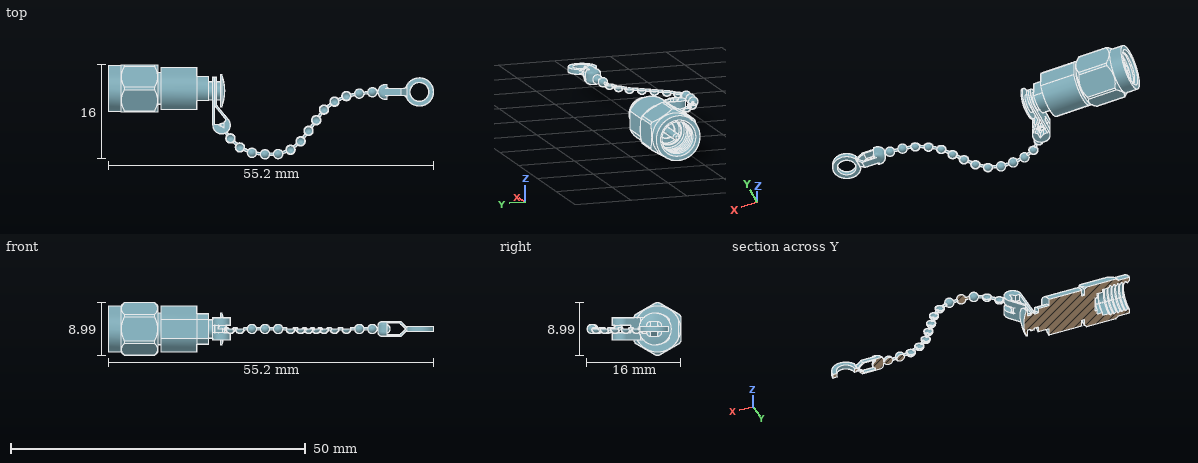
import cadquery as cq
import math


OVERALL_LENGTH = 55.17

COLLAR_RADIUS = 3.92
COLLAR_END = 2.1
HEX_ACROSS_FLATS = 8.0
HEX_CORNER_RADIUS = 4.495
HEX_END = 8.42
HEX_CHAMFER = 0.6
NECK_RADIUS = 2.72
NECK_END = 8.9
FLAT_HALF_WIDTH = 1.6
BODY_RADIUS = 3.92
BODY_END = 15.02
STUB_RADIUS = 2.6
STUB_END = 17.0

THREAD_MINOR_RADIUS = 2.77
THREAD_MAJOR_RADIUS = 3.15
THREAD_PITCH = 25.4 / 36
THREAD_GROOVES = 5
THREAD_DEPTH = THREAD_MAJOR_RADIUS - THREAD_MINOR_RADIUS
SOCKET_DEPTH = 5.0
SHELL_BORE_RADIUS = 2.2
SHELL_BORE_CHAMFER = 0.12
SHELL_BORE_DEPTH = 6.0
INSULATOR_RADIUS = 1.42
INSULATOR_RECESS_DEPTH = 6.4
PIN_RADIUS = 0.57
PIN_TIP_RADIUS = 0.3
PIN_START = 0.4
PIN_TAPER = 0.6

RIVET_Y = -0.40
RIVET_SHANK_RADIUS = 1.58
RIVET_HEAD_RADIUS = 2.74
RIVET_HEAD_START = 18.98
RIVET_HEAD_RIM = 0.25
RIVET_HEAD_END = 19.74

CLIP_START = 17.69
CLIP_SHEET = 0.33
LEAF_GAP = 0.02
CLIP_HALF_WIDTH = 1.91
CLIP_BEND_Y = -2.85
CURL_RADIUS = 1.5
CURL_X = CLIP_START + CURL_RADIUS
CURL_Y = -6.22
MOUTH_FLOOR_Y = -6.1
MOUTH_LEFT_X = 18.7
MOUTH_APEX = (19.58, -6.67)
MOUTH_CORNER_Y = -5.75
MOUTH_END_DISTANCE = 2.9
CLIP_SLOT_HALF_HEIGHT = 0.6
CLIP_SLOT_TOP_Y = -4.55

BEAD_RADIUS = 0.8
BEAD_WALL = 0.1
LINK_RADIUS = 0.21
LINK_OVERLAP = 0.075
CHAIN_PITCH = 2.23
FIRST_BEAD = (19.36, -6.68)
LINK_HEADINGS = [-53.4, -43.5, -24, -6.5, 1, 19, 40, 53, 54, 54, 37, 25, 11, 6, 1]
UPPER_CUPS = {0}
LOWER_CUPS = {1, 2, 6, 7, 8, 9, 10, 11, 12}

END_Y = -0.58
CAP_X = 47.0
CAP_RADIUS = 1.28
CAP_HALF_HEIGHT = 1.26
CAP_ROUND = 0.67
CAP_FACE_X = 47.27
STRAP_THICKNESS = 0.28
STRAP_WIDTH = 1.22
STRAP_BEND_X = 49.67
STRAP_MEET_X = 50.85
RING_OUTER_RADIUS = 2.41
RING_INNER_RADIUS = 1.58
RING_X = OVERALL_LENGTH - RING_OUTER_RADIUS
RING_THICKNESS = 0.86
RING_ROOT_FILLET = 0.5
ROOT_SEARCH = 0.1


def turned(points):
    """Solid of revolution about X from (x, radius) points; the axis side is closed here."""
    outline = [(points[0][0], 0)] + points + [(points[-1][0], 0)]
    return cq.Workplane("XY").polyline(outline).close().revolve(360, (0, 0, 0), (1, 0, 0))


def rod(x_start, x_end, radius):
    return turned([(x_start, radius), (x_end, radius)])


def flatted_rod(x_start, x_end, radius):
    """Rod along X with two flats facing +Y and -Y."""
    flat_distance = math.sqrt(radius**2 - FLAT_HALF_WIDTH**2)
    length = x_end - x_start
    slab = cq.Workplane("XY").box(length, 2 * flat_distance, 2 * radius)
    slab = slab.translate((x_start + length / 2, 0, 0))
    return rod(x_start, x_end, radius).intersect(slab)


def hex_nut():
    corner_diameter = HEX_ACROSS_FLATS / math.cos(math.radians(30))
    prism = cq.Workplane("YZ").polygon(6, corner_diameter).extrude(HEX_END - COLLAR_END)
    prism = prism.rotate((0, 0, 0), (1, 0, 0), 90).translate((COLLAR_END, 0, 0))
    envelope = turned([
        (COLLAR_END, COLLAR_RADIUS),
        (COLLAR_END + HEX_CHAMFER, HEX_CORNER_RADIUS),
        (HEX_END - HEX_CHAMFER, HEX_CORNER_RADIUS),
        (HEX_END, COLLAR_RADIUS),
    ])
    return prism.intersect(envelope)


def socket():
    """Material removed from the mouth: lead-in cone, thread grooves and stepped bore."""
    points = [(0, THREAD_MAJOR_RADIUS), (THREAD_DEPTH, THREAD_MINOR_RADIUS)]
    for i in range(THREAD_GROOVES):
        groove_start = THREAD_DEPTH + i * THREAD_PITCH
        points += [
            (groove_start + THREAD_PITCH / 2, THREAD_MAJOR_RADIUS),
            (groove_start + THREAD_PITCH, THREAD_MINOR_RADIUS),
        ]
    points += [
        (SOCKET_DEPTH, THREAD_MINOR_RADIUS),
        (SOCKET_DEPTH, SHELL_BORE_RADIUS + SHELL_BORE_CHAMFER),
        (SOCKET_DEPTH + SHELL_BORE_CHAMFER, SHELL_BORE_RADIUS),
        (SHELL_BORE_DEPTH, SHELL_BORE_RADIUS),
        (SHELL_BORE_DEPTH, INSULATOR_RADIUS),
        (INSULATOR_RECESS_DEPTH, INSULATOR_RADIUS),
    ]
    return turned(points)


def connector():
    nut = rod(0, COLLAR_END, COLLAR_RADIUS).union(hex_nut())
    neck = rod(COLLAR_END, NECK_END, NECK_RADIUS)
    body = flatted_rod(NECK_END, BODY_END, BODY_RADIUS)
    stub = flatted_rod(BODY_END, STUB_END, STUB_RADIUS)
    pin = turned([
        (PIN_START, PIN_TIP_RADIUS),
        (PIN_START + PIN_TAPER, PIN_RADIUS),
        (NECK_END, PIN_RADIUS),
    ])
    return nut.union(neck).union(body).union(stub).cut(socket()).union(pin)


def rivet():
    shank = rod(BODY_END, RIVET_HEAD_START, RIVET_SHANK_RADIUS)
    rim_end = RIVET_HEAD_START + RIVET_HEAD_RIM
    rise = RIVET_HEAD_END - rim_end
    dome_radius = (RIVET_HEAD_RADIUS**2 + rise**2) / (2 * rise)
    half_angle = math.asin(RIVET_HEAD_RADIUS / dome_radius) / 2
    dome_mid = (
        RIVET_HEAD_END - dome_radius * (1 - math.cos(half_angle)),
        dome_radius * math.sin(half_angle),
    )
    head = (
        cq.Workplane("XY")
        .moveTo(RIVET_HEAD_START, 0)
        .lineTo(RIVET_HEAD_START, RIVET_HEAD_RADIUS)
        .lineTo(rim_end, RIVET_HEAD_RADIUS)
        .threePointArc(dome_mid, (RIVET_HEAD_END, 0))
        .close()
        .revolve(360, (0, 0, 0), (1, 0, 0))
    )
    return shank.union(head).translate((0, RIVET_Y, 0))


def clip():
    leaf_joint = CLIP_START + CLIP_SHEET
    bend_x = leaf_joint + LEAF_GAP + CLIP_SHEET

    to_curl_x = CURL_X - bend_x
    to_curl_y = CURL_Y - CLIP_BEND_Y
    curl_distance = math.hypot(to_curl_x, to_curl_y)
    slope = math.atan2(to_curl_y, to_curl_x) + math.asin(CURL_RADIUS / curl_distance)
    along = (math.cos(slope), math.sin(slope))
    outward = (-along[1], along[0])
    tangent_point = (CURL_X + CURL_RADIUS * outward[0], CURL_Y + CURL_RADIUS * outward[1])

    outline = (
        cq.Workplane("XY")
        .moveTo(CLIP_START, CLIP_HALF_WIDTH)
        .lineTo(CLIP_START, CURL_Y)
        .threePointArc((CURL_X, CURL_Y - CURL_RADIUS), tangent_point)
        .lineTo(bend_x, CLIP_BEND_Y)
        .lineTo(bend_x, CLIP_HALF_WIDTH)
        .close()
        .extrude(CLIP_HALF_WIDTH, both=True)
    )

    inner_x = bend_x - CLIP_SHEET * outward[0]
    inner_y = CLIP_BEND_Y - CLIP_SHEET * outward[1]
    inner_bend_y = inner_y + (leaf_joint + LEAF_GAP - inner_x) * math.tan(slope)
    gap_end = (inner_x + MOUTH_END_DISTANCE * along[0], inner_y + MOUTH_END_DISTANCE * along[1])
    gap = (
        cq.Workplane("XY")
        .moveTo(leaf_joint, CLIP_HALF_WIDTH)
        .lineTo(leaf_joint, MOUTH_FLOOR_Y)
        .lineTo(MOUTH_LEFT_X, MOUTH_FLOOR_Y)
        .lineTo(*MOUTH_APEX)
        .lineTo(MOUTH_APEX[0], MOUTH_CORNER_Y)
        .lineTo(*gap_end)
        .lineTo(leaf_joint + LEAF_GAP, inner_bend_y)
        .lineTo(leaf_joint + LEAF_GAP, CLIP_HALF_WIDTH)
        .close()
        .extrude(CLIP_HALF_WIDTH, both=True)
    )

    bottom_y = CURL_Y - CURL_RADIUS
    blank_length = CURL_X + CURL_RADIUS - CLIP_START
    blank = (
        cq.Workplane("YZ", origin=(CLIP_START, 0, 0))
        .moveTo(bottom_y, -CLIP_HALF_WIDTH)
        .lineTo(0, -CLIP_HALF_WIDTH)
        .threePointArc((CLIP_HALF_WIDTH, 0), (0, CLIP_HALF_WIDTH))
        .lineTo(bottom_y, CLIP_HALF_WIDTH)
        .close()
        .extrude(blank_length)
    )

    slot_length = CLIP_SLOT_TOP_Y - bottom_y
    slot = (
        cq.Workplane("XY")
        .box(blank_length, slot_length, 2 * CLIP_SLOT_HALF_HEIGHT)
        .translate((CLIP_START + blank_length / 2, bottom_y + slot_length / 2, 0))
    )
    return outline.cut(gap).intersect(blank).cut(slot)


def bead_centres():
    centres = [FIRST_BEAD]
    for heading in LINK_HEADINGS:
        x, y = centres[-1]
        angle = math.radians(heading)
        centres.append((x + CHAIN_PITCH * math.cos(angle), y + CHAIN_PITCH * math.sin(angle)))
    return centres


def bead(index):
    """Full ball, or half of a thin hollow ball, centred on the origin."""
    ball = cq.Workplane("XY").sphere(BEAD_RADIUS)
    if index not in UPPER_CUPS | LOWER_CUPS:
        return ball
    hollow = ball.cut(cq.Workplane("XY").sphere(BEAD_RADIUS - BEAD_WALL))
    side = 1 if index in UPPER_CUPS else -1
    size = 2 * BEAD_RADIUS
    half_space = cq.Workplane("XY").box(size, size, BEAD_RADIUS).translate((0, 0, side * BEAD_RADIUS / 2))
    return hollow.intersect(half_space)


def chain():
    centres = bead_centres()
    link_inset = BEAD_RADIUS - LINK_OVERLAP
    parts = cq.Workplane("XY")
    for i, heading in enumerate(LINK_HEADINGS):
        link = rod(link_inset, CHAIN_PITCH - link_inset, LINK_RADIUS)
        link = link.rotate((0, 0, 0), (0, 0, 1), heading).translate((*centres[i], 0))
        parts = parts.union(bead(i).translate((*centres[i], 0))).union(link)
    return parts


def end_cap():
    cap = cq.Workplane("XY").circle(CAP_RADIUS).extrude(CAP_HALF_HEIGHT, both=True)
    cap = cap.faces("|Z").edges().fillet(CAP_ROUND).translate((CAP_X, 0, 0))
    trim = cq.Workplane("XY").box(2 * CAP_RADIUS, 2 * CAP_RADIUS, 2 * CAP_HALF_HEIGHT)
    cap = cap.cut(trim.translate((CAP_FACE_X + CAP_RADIUS, 0, 0)))

    diagonal = BEAD_RADIUS * math.sqrt(0.5)
    last_bead = (
        cq.Workplane("XY")
        .lineTo(0, BEAD_RADIUS)
        .threePointArc((diagonal, diagonal), (BEAD_RADIUS, 0))
        .close()
        .revolve(360, (0, 0, 0), (1, 0, 0))
    )
    return cap.union(last_bead.translate((CAP_X, 0, 0)))


def strap_and_ring():
    strap_length = RING_X - CAP_X
    strap = cq.Workplane("XY").box(strap_length, STRAP_WIDTH, 2 * CAP_HALF_HEIGHT)
    strap = strap.translate((CAP_X + strap_length / 2, 0, 0))
    disc = cq.Workplane("XY").center(RING_X, 0).circle(RING_OUTER_RADIUS).extrude(CAP_HALF_HEIGHT, both=True)
    root_x = RING_X - math.sqrt(RING_OUTER_RADIUS**2 - (STRAP_WIDTH / 2) ** 2)
    roots = cq.selectors.BoxSelector(
        (root_x - ROOT_SEARCH, -STRAP_WIDTH, -CAP_HALF_HEIGHT),
        (root_x + ROOT_SEARCH, STRAP_WIDTH, CAP_HALF_HEIGHT),
    )
    plan = strap.union(disc).edges("|Z").edges(roots).fillet(RING_ROOT_FILLET)
    start = cq.Workplane("XY").center(CAP_X, 0).circle(STRAP_WIDTH / 2).extrude(CAP_HALF_HEIGHT, both=True)
    bore = cq.Workplane("XY").center(RING_X, 0).circle(RING_INNER_RADIUS).extrude(CAP_HALF_HEIGHT, both=True)
    plan = plan.union(start).cut(bore)

    strap_start = CAP_X - STRAP_WIDTH / 2
    inner_height = CAP_HALF_HEIGHT - STRAP_THICKNESS
    slope_width = STRAP_THICKNESS / math.sin(math.atan2(CAP_HALF_HEIGHT, STRAP_MEET_X - STRAP_BEND_X))
    inner_bend_x = STRAP_BEND_X - STRAP_THICKNESS
    leg = (
        cq.Workplane("XZ")
        .moveTo(strap_start, CAP_HALF_HEIGHT)
        .lineTo(STRAP_BEND_X, CAP_HALF_HEIGHT)
        .lineTo(STRAP_MEET_X, 0)
        .lineTo(STRAP_MEET_X - slope_width, 0)
        .lineTo(inner_bend_x, inner_height)
        .lineTo(strap_start, inner_height)
        .close()
        .extrude(RING_OUTER_RADIUS, both=True)
    )
    ring_start = STRAP_MEET_X - slope_width / 2
    ring_length = RING_X + RING_OUTER_RADIUS - ring_start
    ring_slab = cq.Workplane("XY").box(ring_length, 2 * RING_OUTER_RADIUS, RING_THICKNESS)
    ring_slab = ring_slab.translate((ring_start + ring_length / 2, 0, 0))
    side = leg.union(leg.mirror("XY")).union(ring_slab)
    return plan.intersect(side)


end_fitting = end_cap().union(strap_and_ring()).translate((0, END_Y, 0))
dust_cap = connector().union(rivet()).union(clip()).union(chain()).union(end_fitting)
result = dust_cap.solids()